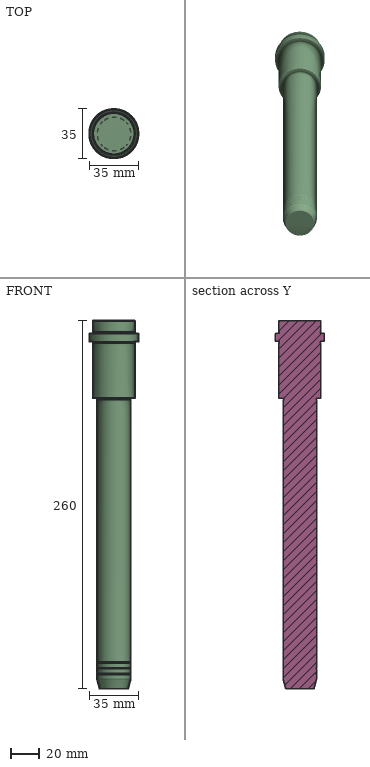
import cadquery as cq
import math

TOTAL_LENGTH = 260.0

SHANK_DIAMETER = 24.0
SLEEVE_DIAMETER = 30.0
SPIGOT_DIAMETER = SLEEVE_DIAMETER
COLLAR_DIAMETER = 35.0

SPIGOT_LENGTH = 9.0
COLLAR_THICKNESS = 6.0
SLEEVE_LENGTH = 40.0

HEAD_CHAMFER = 0.5
TIP_FILLET = 0.5

TAPER_LENGTH = 7.0
TAPER_ANGLE = 15.0

GROOVE_COUNT = 3
GROOVE_PITCH = 4.0
FIRST_GROOVE_Z = 10.5
GROOVE_WIDTH = 1.0
GROOVE_DEPTH = 0.25

RELIEF_WIDTH = 1.0
RELIEF_DEPTH = 0.3

COLLAR_TOP_Z = TOTAL_LENGTH - SPIGOT_LENGTH
COLLAR_BOTTOM_Z = COLLAR_TOP_Z - COLLAR_THICKNESS
SLEEVE_BOTTOM_Z = COLLAR_BOTTOM_Z - SLEEVE_LENGTH


def cylinder(diameter, bottom_z, top_z):
    """Solid cylinder on the Z axis between two levels."""
    return cq.Workplane("XY").workplane(offset=bottom_z).circle(diameter / 2).extrude(top_z - bottom_z)


def revolve_about_z(profile):
    """Full revolution of a closed XZ profile about the Z axis."""
    return profile.revolve(360, (0, 0, 0), (0, 1, 0))


def make_shank():
    """Long shank with a tapered tip whose end edge is rounded."""
    shank_radius = SHANK_DIAMETER / 2
    tip_radius = shank_radius - TAPER_LENGTH * math.tan(math.radians(TAPER_ANGLE))
    profile = (
        cq.Workplane("XZ")
        .lineTo(tip_radius, 0)
        .lineTo(shank_radius, TAPER_LENGTH)
        .lineTo(shank_radius, SLEEVE_BOTTOM_Z)
        .lineTo(0, SLEEVE_BOTTOM_Z)
        .close()
    )
    return revolve_about_z(profile).faces("<Z").edges().fillet(TIP_FILLET)


def make_head():
    """Sleeve, collar and spigot stacked above the shank."""
    sleeve = cylinder(SLEEVE_DIAMETER, SLEEVE_BOTTOM_Z, COLLAR_BOTTOM_Z)
    sleeve = sleeve.faces("<Z").edges().chamfer(HEAD_CHAMFER)
    collar = cylinder(COLLAR_DIAMETER, COLLAR_BOTTOM_Z, COLLAR_TOP_Z)
    collar = collar.faces(">Z").edges().chamfer(HEAD_CHAMFER)
    spigot = cylinder(SPIGOT_DIAMETER, COLLAR_TOP_Z, TOTAL_LENGTH)
    spigot = spigot.faces(">Z").edges().chamfer(HEAD_CHAMFER)
    return sleeve.union(collar).union(spigot)


def make_oil_groove(center_z):
    """V-section ring cut into the shank surface, centred on a level."""
    shank_radius = SHANK_DIAMETER / 2
    profile = (
        cq.Workplane("XZ")
        .moveTo(shank_radius, center_z - GROOVE_WIDTH / 2)
        .lineTo(shank_radius - GROOVE_DEPTH, center_z)
        .lineTo(shank_radius, center_z + GROOVE_WIDTH / 2)
        .close()
    )
    return revolve_about_z(profile)


def make_relief(diameter, bottom_z):
    """Square-section undercut ring in a cylinder of the given diameter."""
    top_z = bottom_z + RELIEF_WIDTH
    floor_diameter = diameter - 2 * RELIEF_DEPTH
    return cylinder(diameter, bottom_z, top_z).cut(cylinder(floor_diameter, bottom_z, top_z))


result = make_shank().union(make_head())

for index in range(GROOVE_COUNT):
    result = result.cut(make_oil_groove(FIRST_GROOVE_Z + index * GROOVE_PITCH))

result = result.cut(make_relief(SPIGOT_DIAMETER, COLLAR_TOP_Z))
result = result.cut(make_relief(SLEEVE_DIAMETER, COLLAR_BOTTOM_Z - RELIEF_WIDTH))
result = result.cut(make_relief(SHANK_DIAMETER, SLEEVE_BOTTOM_Z - RELIEF_WIDTH))